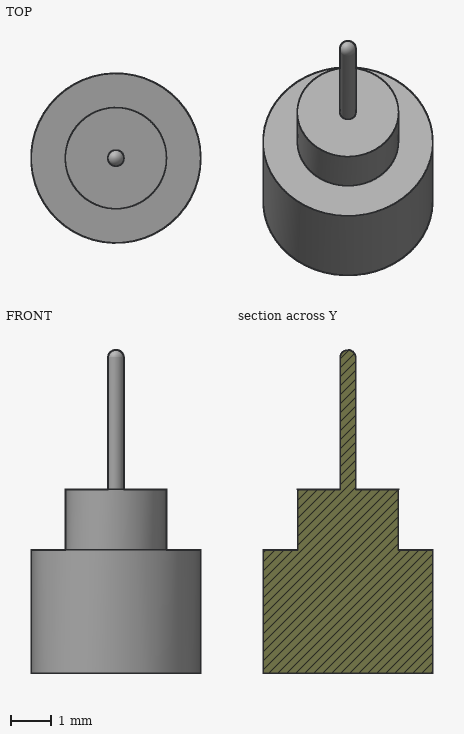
import cadquery as cq

total_height = 8.0
base_height = 3.06
collar_height = 1.5
collar_top = base_height + collar_height

base_radius = 4.2 / 2
collar_radius = 2.5 / 2
pin_radius = 0.4 / 2

dome_height = 0.18
dome_bottom = total_height - dome_height
dome_sphere_radius = (pin_radius**2 + dome_height**2) / (2 * dome_height)


def cylinder(radius, bottom, top):
    """Cylinder on the Z axis between two levels."""
    return cq.Workplane("XY").workplane(offset=bottom).circle(radius).extrude(top - bottom)


def domed_pin():
    """Contact pin rising from the collar, revolved from its half profile."""
    return (
        cq.Workplane("XZ")
        .moveTo(0, collar_top)
        .lineTo(pin_radius, collar_top)
        .lineTo(pin_radius, dome_bottom)
        .radiusArc((0, total_height), -dome_sphere_radius)
        .close()
        .revolve(360, (0, 0), (0, 1))
    )


base = cylinder(base_radius, 0, base_height)
collar = cylinder(collar_radius, base_height, collar_top)

result = base.union(collar).union(domed_pin())